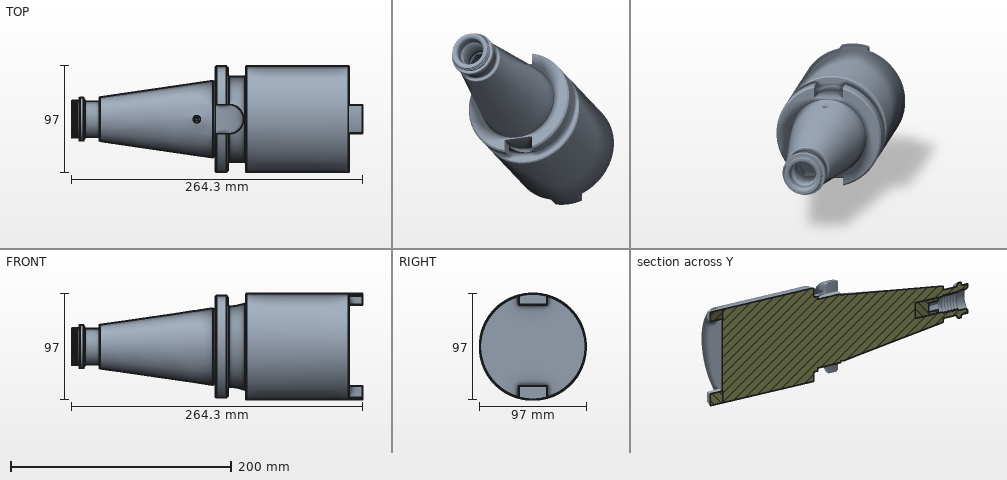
import cadquery as cq
import math

overall_length = 264.3
body_radius = 48.5
body_start = 157.8
body_end = 252.0
body_back_chamfer = 1.0
body_front_chamfer = 0.8

edge_break_length = 0.8
edge_break_depth = 0.3

tip_radius = 17.1
tip_length = 6.6
tip_groove_positions = (2.0, 4.4)
tip_groove_width = 1.0
tip_groove_depth = 0.6

collar_radius = 19.8
collar_end = 10.9
collar_foot_end = 12.2
collar_foot_radius = 18.6
neck_radius = 16.5
neck_foot_chamfer = 0.4

gauge_radius = 34.925
taper_start = 25.0
taper_end = 127.3
taper_slope = 7 / 48
taper_small_radius = gauge_radius - (taper_end - taper_start) * taper_slope

flange_start = 130.0
flange_end = 142.0
flange_radius = body_radius
flange_front_chamfer = 1.5
flange_back_chamfer = 2.0
undercut_length = 2.0
undercut_depth = 0.5
undercut_radius = gauge_radius - undercut_depth
waist_radius = 39.0
waist_foot_chamfer = 0.8

slot_width = 26.6
slot_floor_height = 35.3
slot_tip = 155.9
opposite_sides = (0, 180)

mouth_radius = 15.2
mouth_rounding = 2.9
entry_bore_radius = mouth_radius - mouth_rounding
entry_bore_end = 9.5
thread_bore_radius = 10.6
thread_bore_start = entry_bore_end + entry_bore_radius - thread_bore_radius
thread_pitch = 3.0
thread_count = 5
thread_depth = 1.3

screw_face = 30.0
screw_length = 24.0
socket_across_flats = 17.0
socket_depth = 10.0

port_position = 113.2
port_radius = 1.6
port_mouth_radius = 3.4
port_depth = 10.0

key_width = 26.4
key_inner_heights = (37.8, 35.4)
key_seat = body_end - body_front_chamfer
key_chamfer = 0.7


def outer_profile():
    """Half outline of the shank, ready to revolve about the X axis."""
    points = [(0, 0), (0, tip_radius - edge_break_depth), (edge_break_length, tip_radius)]
    for position in tip_groove_positions:
        groove_floor = tip_radius - tip_groove_depth
        points += [
            (position - tip_groove_width / 2, tip_radius),
            (position - tip_groove_width / 2, groove_floor),
            (position + tip_groove_width / 2, groove_floor),
            (position + tip_groove_width / 2, tip_radius),
        ]
    points += [
        (tip_length, tip_radius),
        (tip_length, collar_radius - edge_break_depth),
        (tip_length + edge_break_length, collar_radius),
        (collar_end - edge_break_length, collar_radius),
        (collar_end, collar_radius - edge_break_depth),
        (collar_end, collar_foot_radius),
        (collar_foot_end, neck_radius),
        (taper_start - neck_foot_chamfer, neck_radius),
        (taper_start, neck_radius + neck_foot_chamfer),
        (taper_start, taper_small_radius - edge_break_depth),
        (taper_start + edge_break_length, taper_small_radius + edge_break_length * taper_slope),
        (taper_end, gauge_radius),
        (flange_start - undercut_length, gauge_radius),
        (flange_start - undercut_length + undercut_depth, undercut_radius),
        (flange_start, undercut_radius),
        (flange_start, flange_radius - flange_front_chamfer),
        (flange_start + flange_front_chamfer, flange_radius),
        (flange_end - flange_back_chamfer, flange_radius),
        (flange_end, flange_radius - flange_back_chamfer),
        (flange_end, waist_radius + waist_foot_chamfer),
        (flange_end + waist_foot_chamfer, waist_radius),
        (body_start - waist_foot_chamfer, waist_radius),
        (body_start, waist_radius + waist_foot_chamfer),
        (body_start, body_radius - body_back_chamfer),
        (body_start + body_back_chamfer, body_radius),
        (body_end - body_front_chamfer, body_radius),
        (body_end, body_radius - body_front_chamfer),
        (body_end, 0),
    ]
    return cq.Workplane("XY").polyline(points).close()


def revolve_about_axis(profile):
    return profile.revolve(360, (0, 0, 0), (1, 0, 0))


def bore_cutter():
    """Bore with a rounded mouth, a plain entry, thread rings and a flat-bottomed screw seat."""
    arc_offset = mouth_rounding * (1 - math.sqrt(0.5))
    thread_points = []
    for index in range(thread_count):
        ring_start = thread_bore_start + index * thread_pitch
        thread_points += [
            (ring_start, thread_bore_radius),
            (ring_start + thread_pitch / 2, thread_bore_radius + thread_depth),
        ]
    thread_points.append((thread_bore_start + thread_count * thread_pitch, thread_bore_radius))
    profile = (
        cq.Workplane("XY")
        .moveTo(0, 0)
        .lineTo(0, mouth_radius)
        .threePointArc(
            (arc_offset, entry_bore_radius + arc_offset),
            (mouth_rounding, entry_bore_radius),
        )
        .lineTo(entry_bore_end, entry_bore_radius)
        .polyline(thread_points, includeCurrent=True)
        .lineTo(screw_face + screw_length, thread_bore_radius)
        .lineTo(screw_face + screw_length, 0)
        .close()
    )
    return revolve_about_axis(profile)


def driver_slot():
    """Round-ended slot above the upper slot floor, open toward the taper."""
    end_radius = slot_width / 2
    slot_start = flange_start
    arc_center = slot_tip - end_radius
    return (
        cq.Workplane("XY", origin=(0, 0, slot_floor_height))
        .moveTo(slot_start, -end_radius)
        .lineTo(arc_center, -end_radius)
        .threePointArc((slot_tip, 0), (arc_center, end_radius))
        .lineTo(slot_start, end_radius)
        .close()
        .extrude(body_radius - slot_floor_height)
    )


def port_cutter():
    """Countersunk blind hole whose mouth lies on the taper surface."""
    surface_height = gauge_radius - (taper_end - port_position) * taper_slope
    sink_depth = port_mouth_radius - port_radius
    top_height = surface_height + sink_depth
    profile = (
        cq.Workplane("XZ")
        .moveTo(port_position, surface_height - port_depth)
        .lineTo(port_position + port_radius, surface_height - port_depth)
        .lineTo(port_position + port_radius, surface_height - sink_depth)
        .lineTo(port_position + port_mouth_radius, surface_height)
        .lineTo(port_position + port_mouth_radius, top_height)
        .lineTo(port_position, top_height)
        .close()
    )
    return profile.revolve(360, (port_position, 0, 0), (port_position, 1, 0))


def make_shank():
    shank = revolve_about_axis(outer_profile())
    shank = shank.cut(bore_cutter()).cut(port_cutter())
    upper_slot = driver_slot()
    for angle in opposite_sides:
        shank = shank.cut(upper_slot.rotate((0, 0, 0), (1, 0, 0), angle))
    return shank


def make_screw():
    socket_across_corners = socket_across_flats / math.cos(math.pi / 6)
    return (
        cq.Workplane("YZ", origin=(screw_face, 0, 0))
        .circle(thread_bore_radius)
        .extrude(screw_length)
        .cut(
            cq.Workplane("YZ", origin=(screw_face, 0, 0))
            .polygon(6, socket_across_corners)
            .extrude(socket_depth)
        )
    )


def make_key(angle, inner_height):
    """Drive key seated in the front face, turned about the axis by the given angle."""
    half_width = key_width / 2
    corner_height = math.sqrt(body_radius**2 - half_width**2)
    key = (
        cq.Workplane("YZ", origin=(key_seat, 0, 0))
        .moveTo(-half_width, inner_height)
        .lineTo(half_width, inner_height)
        .lineTo(half_width, corner_height)
        .threePointArc((0, body_radius), (-half_width, corner_height))
        .close()
        .extrude(overall_length - key_seat)
        .faces("not <X").edges("not <X")
        .chamfer(key_chamfer)
    )
    return key.rotate((0, 0, 0), (1, 0, 0), angle)


shank = make_shank()
screw = make_screw()
keys = [make_key(angle, inner_height) for angle, inner_height in zip(opposite_sides, key_inner_heights)]
for key in keys:
    shank = shank.cut(key)

result = cq.Compound.makeCompound([shank.val(), screw.val(), *[key.val() for key in keys]])